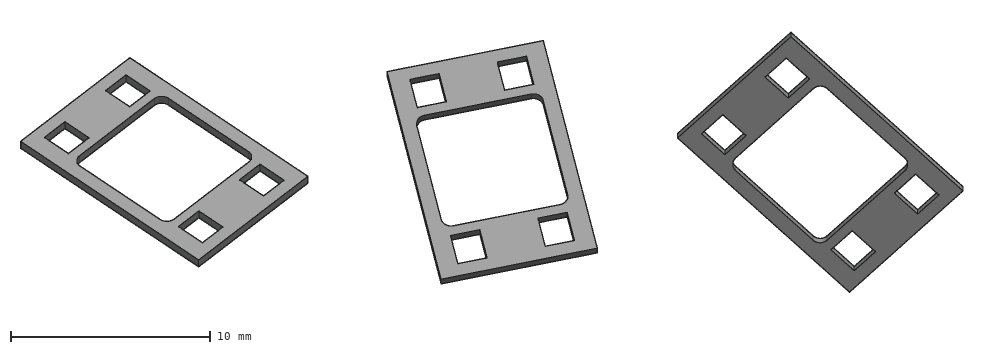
import cadquery as cq

length = 12.23
width = 8.05
thickness = 0.5

window_side = 6.51
window_corner_radius = 0.5

hole_length = 1.65
hole_width = 1.5
hole_spacing_x = 9.2
hole_spacing_y = 4.5

plate = cq.Workplane("XY").box(length, width, thickness)

window = (
    cq.Workplane("XY")
    .box(window_side, window_side, thickness)
    .edges("|Z")
    .fillet(window_corner_radius)
)

holes = (
    cq.Workplane("XY")
    .rarray(hole_spacing_x, hole_spacing_y, 2, 2)
    .box(hole_length, hole_width, thickness)
)

result = plate.cut(window).cut(holes)